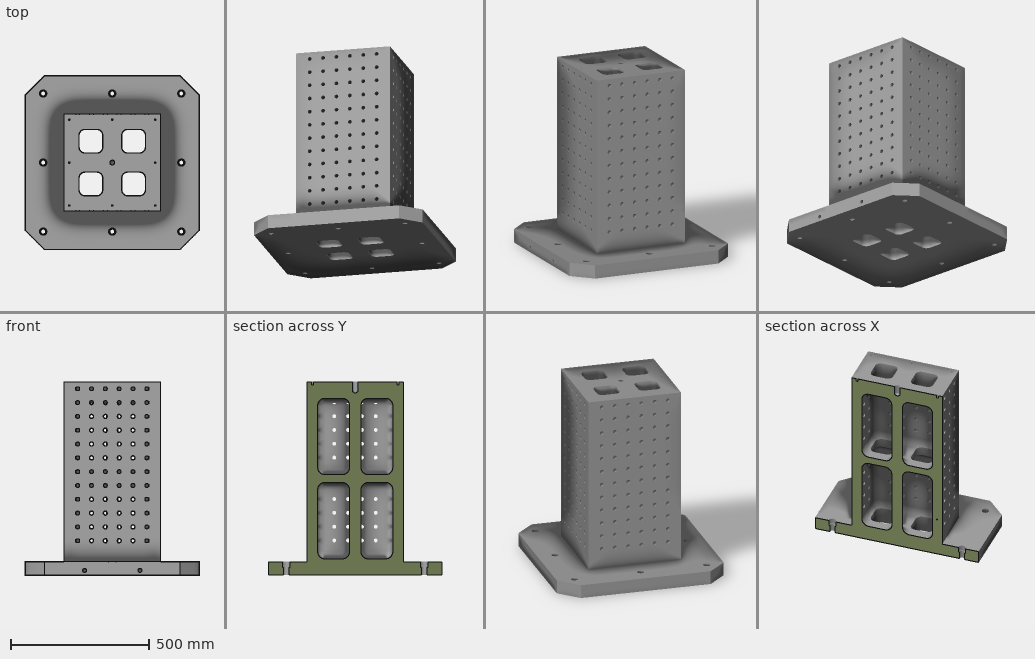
import cadquery as cq
import math

base_side = 630.0
base_thickness = 50.0
base_chamfer = 70.0
bolt_offset = 250.0
bolt_hole_diameter = 18.0
bolt_head_diameter = 26.0
bolt_head_depth = 20.0

lift_hole_diameter = 14.0
lift_hole_depth = 30.0
lift_hole_offset = 100.0
lift_hole_height = 17.5

total_height = 700.0
tower_side = 350.0

pocket_inner_edge = 35.0
pocket_outer_edge = 120.0
pocket_side = pocket_outer_edge - pocket_inner_edge
pocket_pitch = pocket_outer_edge + pocket_inner_edge
pocket_corner_radius = 20.0

chamber_wall = 40.0
chamber_side = tower_side - 2 * chamber_wall
chamber_fillet = 25.0
top_thickness = 60.0
middle_thickness = 30.0
chamber_height = (total_height - 2 * top_thickness - middle_thickness) / 2
chamber_floors = (top_thickness, top_thickness + chamber_height + middle_thickness)
post_diameter = 43.5

grid_hole_diameter = 14.0
grid_hole_depth = 41.0
grid_columns = 6
grid_rows = 12
grid_pitch = tower_side / (grid_columns + 1)
grid_top_margin = grid_pitch / 2

pin_hole_diameter = 5.0
pin_hole_offset = 155.5
pin_hole_depth = 10.5
centre_hole_diameter = 17.5
centre_hole_depth = 35.0

drill_point_angle = 118.0


def ring_points(offset):
    """Corners and edge middles of a square whose sides lie at the given offset."""
    steps = (-offset, 0, offset)
    return [(x, y) for x in steps for y in steps if (x, y) != (0, 0)]


def pointed_drill(diameter, depth):
    """Drill along -Z from the origin, with a conical point beyond the full-diameter depth."""
    radius = diameter / 2
    point_height = radius / math.tan(math.radians(drill_point_angle / 2))
    profile = (
        cq.Workplane("XZ")
        .lineTo(radius, 0)
        .lineTo(radius, -depth)
        .lineTo(0, -depth - point_height)
        .close()
    )
    return profile.revolve(360, (0, 0, 0), (0, 1, 0))


def body():
    """Base plate with cut corners and the square tower standing on it."""
    base = cq.Workplane("XY").box(base_side, base_side, base_thickness, centered=(True, True, False))
    base = base.edges("|Z").chamfer(base_chamfer)
    tower = cq.Workplane("XY").box(tower_side, tower_side, total_height, centered=(True, True, False))
    return base.union(tower)


def pockets():
    return (
        cq.Workplane("XY")
        .rarray(pocket_pitch, pocket_pitch, 2, 2)
        .rect(pocket_side, pocket_side)
        .extrude(total_height)
        .edges("|Z")
        .fillet(pocket_corner_radius)
    )


def chamber(floor):
    """Hollow around the central post, rounded along every edge."""
    hollow = (
        cq.Workplane("XY", origin=(0, 0, floor))
        .rect(chamber_side, chamber_side)
        .extrude(chamber_height)
        .edges("|Z")
        .fillet(chamber_fillet)
    )
    post = cq.Workplane("XY", origin=(0, 0, floor)).circle(post_diameter / 2).extrude(chamber_height)
    return hollow.cut(post).faces("<Z or >Z").edges().fillet(chamber_fillet)


def grid_holes():
    """Hole grid of the front face of the tower."""
    first_column = -(grid_columns - 1) / 2 * grid_pitch
    first_row = total_height - grid_top_margin
    points = [
        (first_column + column * grid_pitch, first_row - row * grid_pitch)
        for column in range(grid_columns)
        for row in range(grid_rows)
    ]
    return (
        cq.Workplane("XZ", origin=(0, -tower_side / 2, 0))
        .pushPoints(points)
        .circle(grid_hole_diameter / 2)
        .extrude(-grid_hole_depth)
    )


def bolt_holes():
    """Counterbored through holes around the base plate."""
    points = ring_points(bolt_offset)
    shanks = cq.Workplane("XY").pushPoints(points).circle(bolt_hole_diameter / 2).extrude(base_thickness)
    heads = (
        cq.Workplane("XY", origin=(0, 0, base_thickness))
        .pushPoints(points)
        .circle(bolt_head_diameter / 2)
        .extrude(-bolt_head_depth)
    )
    return shanks.union(heads)


def pin_holes():
    return (
        cq.Workplane("XY", origin=(0, 0, total_height))
        .pushPoints(ring_points(pin_hole_offset))
        .circle(pin_hole_diameter / 2)
        .extrude(-pin_hole_depth)
    )


result = body().cut(pockets())
for chamber_floor in chamber_floors:
    result = result.cut(chamber(chamber_floor))

front_grid = grid_holes()
for quarter_turn in range(4):
    result = result.cut(front_grid.rotate((0, 0, 0), (0, 0, 1), 90 * quarter_turn))

result = result.cut(bolt_holes()).cut(pin_holes())
result = result.cut(pointed_drill(centre_hole_diameter, centre_hole_depth).translate((0, 0, total_height)))

lift_drill = pointed_drill(lift_hole_diameter, lift_hole_depth).rotate((0, 0, 0), (1, 0, 0), 90)
for lift_hole_x in (-lift_hole_offset, lift_hole_offset):
    result = result.cut(lift_drill.translate((lift_hole_x, -base_side / 2, lift_hole_height)))